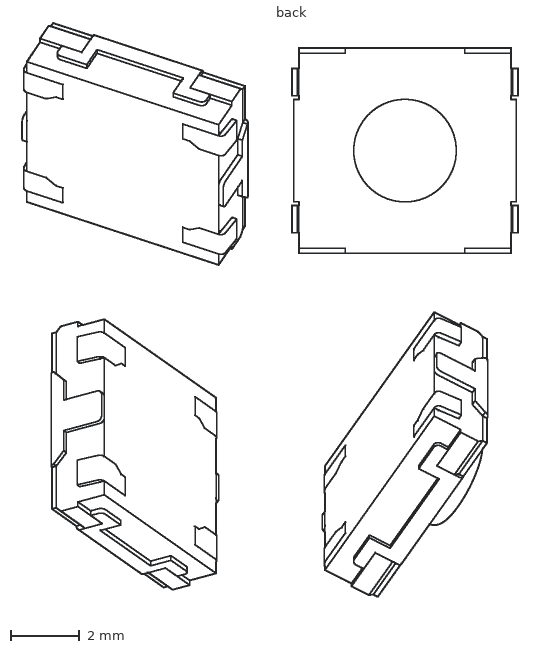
import cadquery as cq
import math


terminal_span_x = 6.6
cover_span_x = 6.5
cover_span_z = 6.0
sheet = 0.15

housing_half_x = cover_span_x / 2 - sheet
housing_half_z = cover_span_z / 2 - sheet
housing_back_y = 1.65
lip_front_y = 0.905

button_radius = 1.5
button_back_y = 2.7
button_fillet = 0.2

cover_back_y = housing_back_y + sheet
tab_corner_radius = sheet

hook_tab_half_width = 1.75
hook_tab_front_y = 1.195
hook_inner_x = 1.39
hook_tip_x = 2.395
hook_front_y = 0.495

side_tab_half_width = 1.5
side_tab_taper = 0.35
side_tab_tongue_half_width = 0.495

terminal_pitch_z = 4.0
terminal_width = 0.8
terminal_lean = 4.3
foot_inner_x = 1.935
foot_narrow_width = 0.6
foot_taper_inner_x = 2.16
foot_taper_outer_x = 2.47


def mirrored_pair(shape, plane):
    """The shape together with its mirror image."""
    return shape.union(shape.mirror(plane))



def terminal_strip():
    """Bent strip: flat foot in the plane y = 0, round bend and a leaning leg, centred on z = 0."""
    lean = math.radians(terminal_lean)
    bend_x = housing_half_x + sheet * math.cos(lean)
    bend_y = sheet - sheet * math.sin(lean)
    leg_run = terminal_span_x / 2 - bend_x
    leg_rise = leg_run / math.tan(lean)
    bend_mid_angle = (math.pi / 2 - lean) / 2
    bend_mid = (
        housing_half_x + sheet * math.sin(bend_mid_angle),
        sheet - sheet * math.cos(bend_mid_angle),
    )
    return (
        cq.Workplane("XY")
        .moveTo(foot_inner_x, 0)
        .lineTo(housing_half_x, 0)
        .threePointArc(bend_mid, (bend_x, bend_y))
        .lineTo(bend_x + leg_run, bend_y + leg_rise)
        .lineTo(housing_half_x + leg_run, sheet + leg_rise)
        .lineTo(housing_half_x, sheet)
        .lineTo(foot_inner_x, sheet)
        .close()
        .extrude(terminal_width / 2, both=True)
    )


def foot_relief():
    """Tapered corner taken off the foot, on the edge facing the middle of the switch."""
    edge_z = -terminal_width / 2
    step_z = terminal_width / 2 - foot_narrow_width
    return (
        cq.Workplane("XZ")
        .polyline([
            (foot_inner_x, edge_z),
            (foot_taper_outer_x, edge_z),
            (foot_taper_inner_x, step_z),
            (foot_inner_x, step_z),
        ])
        .close()
        .extrude(-sheet)
    )


def make_terminal(side_x, side_z):
    """One terminal in the quadrant given by the two signs."""
    terminal = terminal_strip().cut(foot_relief()).translate((0, 0, terminal_pitch_z / 2))
    if side_x < 0:
        terminal = terminal.mirror("YZ")
    if side_z < 0:
        terminal = terminal.mirror("XY")
    return terminal



def corner_lip():
    """Chamfered ledge beside a hooked tab, in the +X +Z corner."""
    return (
        cq.Workplane("YZ")
        .workplane(offset=hook_tab_half_width)
        .polyline([
            (lip_front_y, housing_half_z),
            (lip_front_y, housing_half_z + sheet),
            (housing_back_y - sheet, housing_half_z + sheet),
            (housing_back_y, housing_half_z),
        ])
        .close()
        .extrude(housing_half_x - hook_tab_half_width)
    )


def make_housing(terminals):
    """Block with four corner lips and a pocket for the foot of each terminal."""
    block = cq.Workplane("XY").box(
        2 * housing_half_x, housing_back_y, 2 * housing_half_z, centered=(True, False, True)
    )
    lips = mirrored_pair(mirrored_pair(corner_lip(), "YZ"), "XY")
    housing = block.union(lips)
    for terminal in terminals:
        housing = housing.cut(terminal)
    return housing



def bent_tab(half_outline, half_width):
    """Tab on the plane z = 0, joined to the cover plate by a round bend; its tip corners are rounded."""
    half = (
        cq.Workplane("XY")
        .polyline(half_outline)
        .close()
        .extrude(sheet)
        .edges("|Z").edges("<Y").edges(">X")
        .fillet(tab_corner_radius)
    )
    diagonal = sheet * math.sqrt(0.5)
    bend = (
        cq.Workplane("YZ")
        .moveTo(housing_back_y, 0)
        .lineTo(housing_back_y, sheet)
        .threePointArc((housing_back_y + diagonal, diagonal), (cover_back_y, 0))
        .close()
        .extrude(half_width, both=True)
    )
    return mirrored_pair(half, "YZ").union(bend)


def hook_tab():
    """Tab on the +Z side with two feet hooked under the housing lips."""
    half_outline = [
        (0, housing_back_y),
        (hook_tab_half_width, housing_back_y),
        (hook_tab_half_width, lip_front_y),
        (hook_tip_x, lip_front_y),
        (hook_tip_x, hook_front_y),
        (hook_inner_x, hook_front_y),
        (hook_inner_x, hook_tab_front_y),
        (0, hook_tab_front_y),
    ]
    return bent_tab(half_outline, hook_tab_half_width).translate((0, 0, housing_half_z))


def side_tab():
    """Tab on the +X side, tapering in to a tongue that ends level with the solder side."""
    step_y = housing_back_y - side_tab_taper
    half_outline = [
        (0, housing_back_y),
        (side_tab_half_width, housing_back_y),
        (side_tab_half_width - side_tab_taper, step_y),
        (side_tab_tongue_half_width, step_y),
        (side_tab_tongue_half_width, 0),
        (0, 0),
    ]
    tab = bent_tab(half_outline, side_tab_half_width)
    return tab.rotate((0, 0, 0), (0, 1, 0), 90).translate((housing_half_x, 0, 0))


def make_cover():
    """Sheet-metal plate with a hole for the button and a bent tab on each of its four sides."""
    plate = (
        cq.Workplane("XY")
        .box(2 * housing_half_x, sheet, 2 * housing_half_z, centered=(True, False, True))
        .translate((0, housing_back_y, 0))
    )
    button_hole = (
        cq.Workplane("XZ", origin=(0, housing_back_y, 0))
        .circle(button_radius)
        .extrude(-sheet)
    )
    hook_tabs = mirrored_pair(hook_tab(), "XY")
    side_tabs = mirrored_pair(side_tab(), "YZ")
    return plate.union(hook_tabs).union(side_tabs).cut(button_hole)



def make_button():
    """Round button standing on the housing, with both rims rounded."""
    return (
        cq.Workplane("XZ", origin=(0, housing_back_y, 0))
        .circle(button_radius)
        .extrude(-(button_back_y - housing_back_y))
        .faces("<Y or >Y")
        .edges()
        .fillet(button_fillet)
    )


terminals = [make_terminal(side_x, side_z) for side_x in (-1, 1) for side_z in (-1, 1)]
housing = make_housing(terminals)
cover = make_cover()
button = make_button()

result = cq.Compound.makeCompound([
    housing.val(),
    cover.val(),
    button.val(),
    *[terminal.val() for terminal in terminals],
])